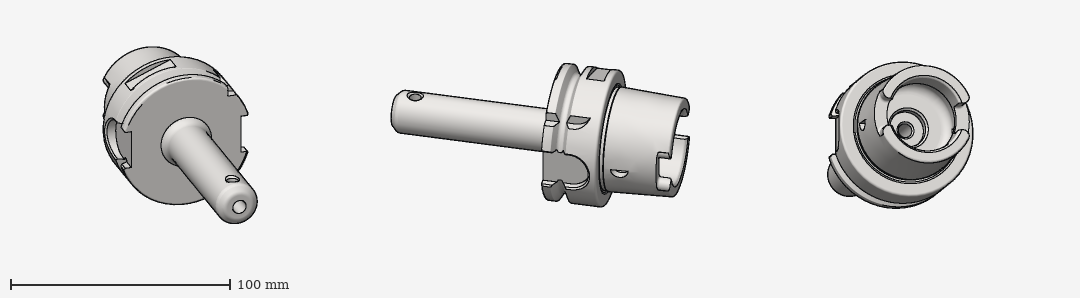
import cadquery as cq
import math

total_length = 133.6

taper_mouth_radius = 22.7
taper_root_radius = 24.11
taper_length = 30.2
mouth_edge_fillet = 1.0
relief_radius = 23.8
relief_start = 30.6
relief_face_depth = 0.3
relief_face_inner_radius = 24.7
relief_face_outer_radius = 25.5

flange_diameter = 63.0
flange_radius = flange_diameter / 2
flange_front = 31.9
flange_rear = 58.0
flange_edge_fillet = 1.1
groove_middle = 50.0
groove_floor_radius = 27.5
groove_floor_half_width = 1.2
groove_wall_angle = 30.0
groove_floor_fillet = 1.3
groove_rim_fillet = 0.4

arbor_radius = 19.8 / 2
neck_fillet = 6.0
neck_base_radius = 12.2
tip_chamfer = 3.2
tip_fillet = 2.4

bore_radius = 34.0 / 2
bore_mouth_chamfer = 1.1
bore_mouth_fillet = 0.8
clamp_shoulder_start = 12.4
clamp_shoulder_angle = 60.0
clamp_recess_radius = 40.0 / 2
bore_depth = 29.9
bore_floor_fillet = 4.3
seat_mouth_radius = 19.0 / 2
seat_radius = 17.0 / 2
seat_depth = 4.7
coolant_mouth_radius = 8.0 / 2
coolant_radius = 6.4 / 2

slot_half_width = 6.3
slot_edge_radius = 3.0
slot_floor_fillet = 1.2
slot_depths = {-1: 9.8, 1: 5.9}

window_x = 22.8
window_radius = 8.0 / 2

keyway_floor = 26.5
keyway_end_center = 44.8
keyway_half_width = 9.0
keyway_rim_chamfer = 0.87

notch_corner = 20.0
notch_runout_radius = 8.0
notch_runout_center = 44.4

pocket_start = 35.4
pocket_end = 43.5
pocket_floor = 29.3
pocket_tilt = 22.0

cross_hole_x = 123.6
cross_hole_radius = 5.3 / 2
cross_sink_radius = 7.5 / 2

tolerance = 0.01
clearance = 13.4


def turned(points):
    """Solid of revolution about X from (x, radius) points closed along the axis."""
    outline = [(points[0][0], 0)] + points + [(points[-1][0], 0)]
    return cq.Workplane("XY").polyline(outline).close().revolve(360, (0, 0, 0), (1, 0, 0))


def round_edges(body, places, fillet_radius):
    """Fillet the full circles about X found at the given (x, radius) places."""
    def wanted(edge):
        if edge.geomType() != "CIRCLE":
            return False
        return any(
            abs(edge.Center().x - x) < tolerance and abs(edge.radius() - radius) < tolerance
            for x, radius in places
        )
    return body.edges().filter(wanted).fillet(fillet_radius)


def make_shank_and_flange():
    groove_wall_run = (flange_radius - groove_floor_radius) * math.tan(math.radians(groove_wall_angle))
    groove_rim_half_width = groove_floor_half_width + groove_wall_run
    front_rim, rear_rim = [
        (groove_middle + side * groove_rim_half_width, flange_radius) for side in (-1, 1)
    ]
    front_corner, rear_corner = [
        (groove_middle + side * groove_floor_half_width, groove_floor_radius) for side in (-1, 1)
    ]
    mouth_edge = (0, taper_mouth_radius)
    front_edge = (flange_front, flange_radius)
    rear_edge = (flange_rear, flange_radius)
    relief_end = flange_front + relief_face_depth

    body = turned([
        mouth_edge,
        (taper_length, taper_root_radius),
        (relief_start, relief_radius),
        (relief_end, relief_radius),
        (relief_end, relief_face_inner_radius),
        (flange_front, relief_face_outer_radius),
        front_edge,
        front_rim,
        front_corner,
        rear_corner,
        rear_rim,
        rear_edge,
    ])
    body = round_edges(body, [mouth_edge], mouth_edge_fillet)
    body = round_edges(body, [front_edge, rear_edge], flange_edge_fillet)
    body = round_edges(body, [front_corner, rear_corner], groove_floor_fillet)
    return round_edges(body, [front_rim, rear_rim], groove_rim_fillet)


def make_arbor():
    chamfer_start = (total_length - tip_chamfer, arbor_radius)
    chamfer_end = (total_length, arbor_radius - tip_chamfer)
    arbor = turned([(flange_rear, arbor_radius), chamfer_start, chamfer_end])
    return round_edges(arbor, [chamfer_start, chamfer_end], tip_fillet)


def make_neck():
    """Concave neck from the flange face, running out tangent to the arbor."""
    rise = neck_base_radius - arbor_radius
    run = math.sqrt(neck_fillet**2 - (neck_fillet - rise) ** 2)
    neck_end = flange_rear + run
    return (
        cq.Workplane("XY")
        .moveTo(flange_rear, 0)
        .lineTo(flange_rear, neck_base_radius)
        .radiusArc((neck_end, arbor_radius), -neck_fillet)
        .lineTo(neck_end, 0)
        .close()
        .revolve(360, (0, 0, 0), (1, 0, 0))
    )


def make_bore():
    """Clamping bore with its undercut, the stepped seat behind it and the coolant hole through the arbor."""
    shoulder_run = (clamp_recess_radius - bore_radius) / math.tan(math.radians(clamp_shoulder_angle))
    seat_chamfer = seat_mouth_radius - seat_radius
    seat_end = bore_depth + seat_depth
    coolant_chamfer = coolant_mouth_radius - coolant_radius
    main_bore = turned([
        (0, bore_radius + bore_mouth_chamfer),
        (bore_mouth_chamfer, bore_radius),
        (clamp_shoulder_start, bore_radius),
        (clamp_shoulder_start + shoulder_run, clamp_recess_radius),
        (bore_depth, clamp_recess_radius),
    ])
    main_bore = round_edges(main_bore, [(bore_depth, clamp_recess_radius)], bore_floor_fillet)
    main_bore = round_edges(main_bore, [(bore_mouth_chamfer, bore_radius)], bore_mouth_fillet)
    seat_and_coolant = turned([
        (bore_depth, seat_mouth_radius),
        (bore_depth + seat_chamfer, seat_radius),
        (seat_end, seat_radius),
        (seat_end, coolant_mouth_radius),
        (seat_end + coolant_chamfer, coolant_radius),
        (total_length, coolant_radius),
    ])
    return main_bore.union(seat_and_coolant)


def make_drive_slot(side, depth):
    """Slot cutter whose walls flare outward through arcs tangent to the outside of the shank mouth."""
    arc_z = slot_half_width + slot_edge_radius
    arc_y = math.sqrt((taper_mouth_radius - slot_edge_radius) ** 2 - arc_z**2)
    exit_angle = math.atan2(arc_z, arc_y)
    exit_y = taper_mouth_radius * math.cos(exit_angle)
    exit_z = taper_mouth_radius * math.sin(exit_angle)
    middle_angle = (exit_angle - math.pi / 2) / 2
    middle_y = arc_y + slot_edge_radius * math.cos(middle_angle)
    middle_z = arc_z + slot_edge_radius * math.sin(middle_angle)
    inner_y = bore_radius / 2
    outer_y = taper_root_radius + clearance
    cutter = (
        cq.Workplane("YZ", origin=(-clearance, 0, 0))
        .moveTo(side * inner_y, -slot_half_width)
        .lineTo(side * arc_y, -slot_half_width)
        .threePointArc((side * middle_y, -middle_z), (side * exit_y, -exit_z))
        .lineTo(side * outer_y, -exit_z)
        .lineTo(side * outer_y, exit_z)
        .lineTo(side * exit_y, exit_z)
        .threePointArc((side * middle_y, middle_z), (side * arc_y, slot_half_width))
        .lineTo(side * inner_y, slot_half_width)
        .close()
        .extrude(clearance + depth)
    )
    return cutter.faces(">X").edges("not(<Y or >Y)").fillet(slot_floor_fillet)


def make_window():
    """Lower half of a round hole running right through the taper shank along Y."""
    return (
        cq.Workplane("XZ", origin=(0, flange_radius, 0))
        .moveTo(window_x - window_radius, 0)
        .threePointArc((window_x, -window_radius), (window_x + window_radius, 0))
        .close()
        .extrude(flange_diameter)
    )


def make_keyway_prism(side):
    """Straight keyway outline, round at its front end and open at the rear of the flange."""
    rear = flange_rear + clearance
    return (
        cq.Workplane("XZ", origin=(0, side * keyway_floor, 0))
        .moveTo(rear, -keyway_half_width)
        .lineTo(keyway_end_center, -keyway_half_width)
        .threePointArc(
            (keyway_end_center - keyway_half_width, 0), (keyway_end_center, keyway_half_width)
        )
        .lineTo(rear, keyway_half_width)
        .close()
        .extrude(-side * clearance)
    )


def make_keyways():
    """Both keyways with chamfered rims, as the material they take out of a plain cylinder."""
    blank = turned([(flange_front, flange_radius), (flange_rear + clearance, flange_radius)])
    keyed = blank.cut(make_keyway_prism(-1)).cut(make_keyway_prism(1))

    def on_rim(edge):
        middle = edge.positionAt(0.5)
        on_outside = abs(math.hypot(middle.y, middle.z) - flange_radius) < tolerance
        in_keyway = abs(middle.z) < keyway_half_width + tolerance
        between_ends = flange_front + tolerance < middle.x < flange_rear + clearance - tolerance
        return on_outside and in_keyway and between_ends

    keyed = keyed.edges().filter(on_rim).chamfer(keyway_rim_chamfer)
    return blank.cut(keyed)


def make_notch():
    """Square-cornered notch with a cylindrical run-out at its front end."""
    reach = flange_radius - notch_corner
    front = notch_runout_center - notch_runout_radius
    block = cq.Workplane("XY").box(flange_rear - front, reach, reach, centered=False)
    block = block.translate((front, notch_corner, notch_corner))
    return block.edges("|Y and <X and <Z").fillet(notch_runout_radius)


def make_pocket():
    """Flat-floored pocket, tilted from the top toward -Y."""
    depth = flange_radius - pocket_floor
    length = pocket_end - pocket_start
    block = cq.Workplane("XY").box(length, flange_diameter, depth, centered=(False, True, False))
    block = block.translate((pocket_start, 0, pocket_floor))
    return block.rotate((0, 0, 0), (1, 0, 0), pocket_tilt)


def make_cross_hole():
    """Radial hole from the top down to the axis, with a 45 degree countersink."""
    sink_depth = cross_sink_radius - cross_hole_radius
    return (
        cq.Workplane("XZ", origin=(cross_hole_x, 0, 0))
        .moveTo(0, 0)
        .lineTo(cross_hole_radius, 0)
        .lineTo(cross_hole_radius, arbor_radius - sink_depth)
        .lineTo(cross_sink_radius, arbor_radius)
        .lineTo(0, arbor_radius)
        .close()
        .revolve(360, (0, 0, 0), (0, 1, 0))
    )


result = make_shank_and_flange().union(make_arbor()).union(make_neck())
result = result.cut(make_bore()).cut(make_keyways())
for slot_side, slot_depth in slot_depths.items():
    result = result.cut(make_drive_slot(slot_side, slot_depth))
result = result.cut(make_window()).cut(make_notch()).cut(make_pocket()).cut(make_cross_hole())